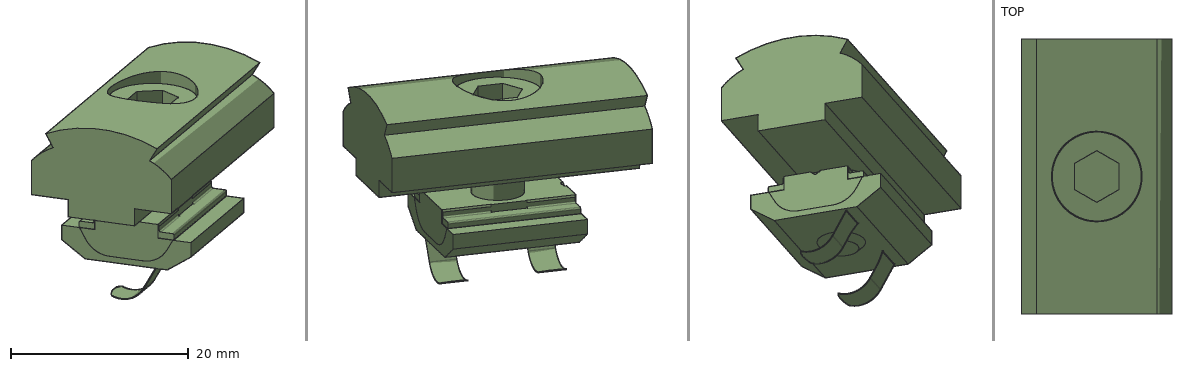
import cadquery as cq
import math

RAIL_LENGTH = 31.0
RAIL_HALF_WIDTH = 8.5
RAIL_TOP_Z = 23.1
CROWN_EDGE = (6.75, 21.67)
GROOVE_ROOT = (5.85, 20.12)
SHOULDER_MID = (7.45, 19.2)
SHOULDER_END_Z = 18.23
RAIL_UNDERSIDE_Z = 14.15
KEY_HALF_WIDTH = 4.03
KEY_BOTTOM_Z = 12.1
HEAD_RECESS_DIAMETER = 10.2
SHANK_HOLE_DIAMETER = 6.2

HEAD_DIAMETER = 10.0
HEAD_TOP_Z = 21.65
HEAD_HEIGHT = 5.58
HEAD_SEAT_Z = HEAD_TOP_Z - HEAD_HEIGHT
SHANK_DIAMETER = 6.0
TIP_DIAMETER = 3.97
TIP_CHAMFER = (SHANK_DIAMETER - TIP_DIAMETER) / 2
SCREW_BOTTOM_Z = 3.7
SOCKET_ACROSS_FLATS = 5.05
SOCKET_DEPTH = 4.03

NUT_LENGTH = 16.0
NUT_HALF_WIDTH = 7.85
NUT_TOP_Z = 8.1
NUT_SIDE_BOTTOM_Z = 6.35
NUT_BOTTOM_Z = 4.43
NUT_BOTTOM_HALF_WIDTH = 5.0

CORE_BOTTOM_Z = 5.15
CORE_CORNER_HALF_WIDTH = 3.97
CORE_CORNER_RADIUS = 3.32
FLANK_ANGLE = math.radians(60)
NECK_HALF_WIDTH = 3.85
NECK_TOP_Z = 9.73
COLLAR_HALF_WIDTH = 3.97
COLLAR_EDGE_DROP = 0.25
EAR_HALF_WIDTH = 5.77
EAR_TOP_Z = 8.85
EAR_ROUNDING = 0.2
EAR_END_SETBACK = 0.1
TAB_LENGTH = 4.28
NOTCH_HALF_WIDTH = 0.6
NOTCH_DEPTH = 0.4
NOTCH_LENGTH = 0.3

SHEET_THICKNESS = 0.11
LEG_BEND_RADIUS = 3.1
LEG_OUTER_Y = 7.5
LEG_INNER_Y = 4.25
LEG_FLARE_RADIUS = 3.32
LEG_FLARE_START_Z = 2.85
LEG_ROOT_Z = 7.3
LEG_TIP_X = -2.4
LEG_TIP_BULGE = 0.37


def bore(diameter, bottom_z, top_z):
    """Vertical cylinder on the screw axis."""
    return cq.Workplane("XY", origin=(0, 0, bottom_z)).circle(diameter / 2).extrude(top_z - bottom_z)


def extrude_along_y(profile, length):
    """Extrude an XZ profile symmetrically about Y = 0."""
    return profile.extrude(length / 2, both=True)


def make_rail():
    crown_x, crown_z = CROWN_EDGE
    root_x, root_z = GROOVE_ROOT
    mid_x, mid_z = SHOULDER_MID
    profile = (
        cq.Workplane("XZ")
        .moveTo(-crown_x, crown_z)
        .threePointArc((0, RAIL_TOP_Z), CROWN_EDGE)
        .lineTo(root_x, root_z)
        .threePointArc(SHOULDER_MID, (RAIL_HALF_WIDTH, SHOULDER_END_Z))
        .lineTo(RAIL_HALF_WIDTH, RAIL_UNDERSIDE_Z)
        .lineTo(KEY_HALF_WIDTH, RAIL_UNDERSIDE_Z)
        .lineTo(KEY_HALF_WIDTH, KEY_BOTTOM_Z)
        .lineTo(-KEY_HALF_WIDTH, KEY_BOTTOM_Z)
        .lineTo(-KEY_HALF_WIDTH, RAIL_UNDERSIDE_Z)
        .lineTo(-RAIL_HALF_WIDTH, RAIL_UNDERSIDE_Z)
        .lineTo(-RAIL_HALF_WIDTH, SHOULDER_END_Z)
        .threePointArc((-mid_x, mid_z), (-root_x, root_z))
        .close()
    )
    rail = extrude_along_y(profile, RAIL_LENGTH)
    rail = rail.cut(bore(HEAD_RECESS_DIAMETER, HEAD_SEAT_Z, RAIL_TOP_Z))
    return rail.cut(bore(SHANK_HOLE_DIAMETER, KEY_BOTTOM_Z, HEAD_SEAT_Z))


def make_screw():
    shank = bore(SHANK_DIAMETER, SCREW_BOTTOM_Z, HEAD_SEAT_Z).faces("<Z").chamfer(TIP_CHAMFER)
    head = bore(HEAD_DIAMETER, HEAD_SEAT_Z, HEAD_TOP_Z)
    across_corners = SOCKET_ACROSS_FLATS / math.cos(math.pi / 6)
    socket = (
        cq.Workplane("XY", origin=(0, 0, HEAD_TOP_Z))
        .transformed(rotate=(0, 0, 90))
        .polygon(6, across_corners)
        .extrude(-SOCKET_DEPTH)
    )
    return shank.union(head).cut(socket)


def flank_x(z):
    """X of the sloping core side, and of the spring legs that continue it, at height z."""
    return CORE_CORNER_HALF_WIDTH + (z - CORE_BOTTOM_Z) / math.tan(FLANK_ANGLE)


def make_core():
    """Rounded trough filler with a straight neck, notched at its front end."""
    top_x = flank_x(NUT_TOP_Z)
    trough = extrude_along_y(
        cq.Workplane("XZ").polyline([
            (-top_x, NUT_TOP_Z),
            (-CORE_CORNER_HALF_WIDTH, CORE_BOTTOM_Z),
            (CORE_CORNER_HALF_WIDTH, CORE_BOTTOM_Z),
            (top_x, NUT_TOP_Z),
        ]).close(),
        NUT_LENGTH,
    )
    trough = trough.faces("<Z").edges("|Y").fillet(CORE_CORNER_RADIUS)
    neck_height = NECK_TOP_Z - NUT_TOP_Z
    neck = (
        cq.Workplane("XY", origin=(0, 0, NUT_TOP_Z))
        .rect(2 * NECK_HALF_WIDTH, NUT_LENGTH)
        .extrude(neck_height)
    )
    notch = (
        cq.Workplane("XZ", origin=(0, -NUT_LENGTH / 2, 0))
        .polyline([
            (-NOTCH_HALF_WIDTH, NECK_TOP_Z),
            (NOTCH_HALF_WIDTH, NECK_TOP_Z),
            (0, NECK_TOP_Z - NOTCH_DEPTH),
        ])
        .close()
        .extrude(-NOTCH_LENGTH)
    )
    return trough.union(neck).cut(notch)


def make_ears():
    """Ledges beside the neck, with a thin collar and a square tab at mid-length."""
    ear_length = NUT_LENGTH - 2 * EAR_END_SETBACK
    ears = (
        cq.Workplane("XY", origin=(0, 0, NUT_TOP_Z))
        .rect(2 * EAR_HALF_WIDTH, ear_length)
        .extrude(EAR_TOP_Z - NUT_TOP_Z)
        .edges("|Y and >Z")
        .fillet(EAR_ROUNDING)
    )
    collar_edge_z = NECK_TOP_Z - COLLAR_EDGE_DROP
    collar_root_x = COLLAR_HALF_WIDTH + EAR_ROUNDING
    collar_root_z = EAR_TOP_Z + EAR_ROUNDING
    collar = extrude_along_y(
        cq.Workplane("XZ")
        .moveTo(0, EAR_TOP_Z)
        .lineTo(collar_root_x, EAR_TOP_Z)
        .radiusArc((COLLAR_HALF_WIDTH, collar_root_z), EAR_ROUNDING)
        .lineTo(COLLAR_HALF_WIDTH, collar_edge_z)
        .lineTo(NECK_HALF_WIDTH, NECK_TOP_Z)
        .lineTo(0, NECK_TOP_Z)
        .close(),
        ear_length,
    )
    collar = collar.union(collar.mirror("YZ"))
    tab_space = (
        cq.Workplane("XY", origin=(0, 0, EAR_TOP_Z))
        .rect(2 * EAR_HALF_WIDTH, TAB_LENGTH)
        .extrude(NECK_TOP_Z - EAR_TOP_Z)
    )
    tab = (
        cq.Workplane("XY", origin=(0, 0, EAR_TOP_Z))
        .rect(2 * COLLAR_HALF_WIDTH, TAB_LENGTH)
        .extrude(NECK_TOP_Z - EAR_TOP_Z)
    )
    neck_space = (
        cq.Workplane("XY", origin=(0, 0, NUT_TOP_Z))
        .rect(2 * NECK_HALF_WIDTH, NUT_LENGTH)
        .extrude(NECK_TOP_Z - NUT_TOP_Z)
    )
    return ears.union(collar.cut(tab_space)).union(tab).cut(neck_space)


def make_leg_sheet():
    """Bent sheet running down from the core side and curling under the screw."""
    inner_radius = LEG_BEND_RADIUS - SHEET_THICKNESS
    bend_z = LEG_BEND_RADIUS * (1 - math.cos(FLANK_ANGLE))
    center_x = flank_x(bend_z) - LEG_BEND_RADIUS * math.sin(FLANK_ANGLE)
    tip_angle = math.asin((LEG_TIP_X - center_x) / LEG_BEND_RADIUS)

    def on_bend(radius, angle):
        return (center_x + radius * math.sin(angle), LEG_BEND_RADIUS - radius * math.cos(angle))

    root = (flank_x(LEG_ROOT_Z), LEG_ROOT_Z)
    inner_root = (
        root[0] - SHEET_THICKNESS * math.sin(FLANK_ANGLE),
        root[1] + SHEET_THICKNESS * math.cos(FLANK_ANGLE),
    )
    profile = (
        cq.Workplane("XZ")
        .moveTo(*root)
        .lineTo(*on_bend(LEG_BEND_RADIUS, FLANK_ANGLE))
        .threePointArc(on_bend(LEG_BEND_RADIUS, 0), on_bend(LEG_BEND_RADIUS, tip_angle))
        .lineTo(*on_bend(inner_radius, tip_angle))
        .threePointArc(on_bend(inner_radius, 0), on_bend(inner_radius, FLANK_ANGLE))
        .lineTo(*inner_root)
        .close()
    )
    return extrude_along_y(profile, 2 * LEG_OUTER_Y)


def make_legs():
    """Split the sheet into two legs with flared roots and bowed tips."""
    flare_top_z = LEG_FLARE_START_Z + LEG_FLARE_RADIUS
    flare_top_y = LEG_INNER_Y - LEG_FLARE_RADIUS
    sheet = make_leg_sheet()
    gap = (
        cq.Workplane("YZ")
        .moveTo(-LEG_INNER_Y, 0)
        .lineTo(LEG_INNER_Y, 0)
        .lineTo(LEG_INNER_Y, LEG_FLARE_START_Z)
        .radiusArc((flare_top_y, flare_top_z), -LEG_FLARE_RADIUS)
        .lineTo(-flare_top_y, flare_top_z)
        .radiusArc((-LEG_INNER_Y, LEG_FLARE_START_Z), -LEG_FLARE_RADIUS)
        .close()
        .extrude(NUT_HALF_WIDTH, both=True)
    )
    legs = sheet.cut(gap)
    leg_middle_y = (LEG_INNER_Y + LEG_OUTER_Y) / 2
    tip_corner_x = LEG_TIP_X + LEG_TIP_BULGE
    for side in (-1, 1):
        tip_trim = (
            cq.Workplane("XY")
            .moveTo(tip_corner_x, side * LEG_INNER_Y)
            .threePointArc((LEG_TIP_X, side * leg_middle_y), (tip_corner_x, side * LEG_OUTER_Y))
            .lineTo(-NUT_HALF_WIDTH, side * LEG_OUTER_Y)
            .lineTo(-NUT_HALF_WIDTH, side * LEG_INNER_Y)
            .close()
            .extrude(LEG_BEND_RADIUS)
        )
        legs = legs.cut(tip_trim)
    return legs


def make_spring_insert():
    insert = make_core().union(make_ears()).union(make_legs())
    return insert.cut(bore(SHANK_DIAMETER, CORE_BOTTOM_Z, NECK_TOP_Z))


def make_nut(spring_insert, screw):
    blank = extrude_along_y(
        cq.Workplane("XZ").polyline([
            (-NUT_HALF_WIDTH, NUT_TOP_Z),
            (-NUT_HALF_WIDTH, NUT_SIDE_BOTTOM_Z),
            (-NUT_BOTTOM_HALF_WIDTH, NUT_BOTTOM_Z),
            (NUT_BOTTOM_HALF_WIDTH, NUT_BOTTOM_Z),
            (NUT_HALF_WIDTH, NUT_SIDE_BOTTOM_Z),
            (NUT_HALF_WIDTH, NUT_TOP_Z),
        ]).close(),
        NUT_LENGTH,
    )
    return blank.cut(spring_insert).cut(screw)


rail = make_rail()
screw = make_screw()
spring_insert = make_spring_insert()
nut = make_nut(spring_insert, screw)

bodies = [rail, screw, spring_insert, nut]
result = cq.Compound.makeCompound([body.solids().val() for body in bodies])